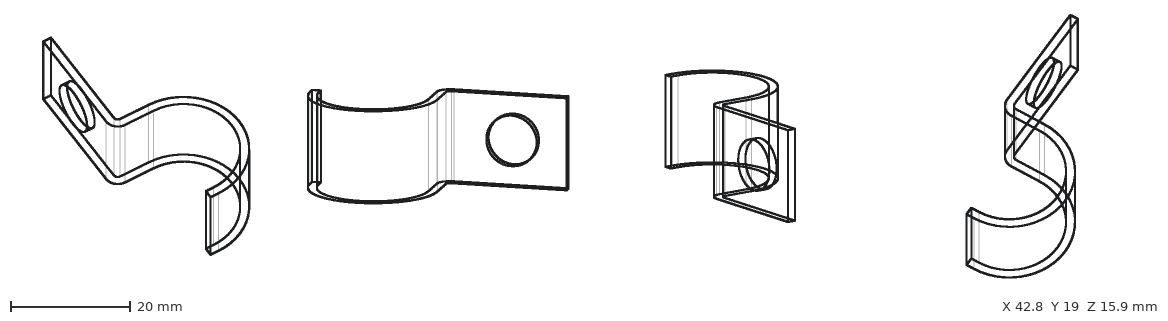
import cadquery as cq

thickness = 1.52
width = 15.88

length = 42.8
height = 18.97

saddle_inner_radius = 9.525
lip_length = 1.52

bend_inner_radius = 0.79

hole_diameter = 8.73
hole_from_tab_end = 9.525

saddle_outer_radius = saddle_inner_radius + thickness
bend_outer_radius = bend_inner_radius + thickness
saddle_x = length - saddle_outer_radius
saddle_y = height - saddle_outer_radius
leg_outer_x = saddle_x - saddle_outer_radius
leg_inner_x = saddle_x - saddle_inner_radius
lip_inner_x = saddle_x + saddle_inner_radius
lip_end_y = saddle_y - lip_length


def bent_strip():
    """Tab, bend, leg, half-round saddle and lip as one extruded profile."""
    profile = (
        cq.Workplane("XY")
        .moveTo(0, 0)
        .lineTo(leg_inner_x - bend_outer_radius, 0)
        .radiusArc((leg_inner_x, bend_outer_radius), -bend_outer_radius)
        .lineTo(leg_inner_x, saddle_y)
        .threePointArc((saddle_x, saddle_y + saddle_inner_radius), (lip_inner_x, saddle_y))
        .lineTo(lip_inner_x, lip_end_y)
        .lineTo(length, lip_end_y)
        .lineTo(length, saddle_y)
        .threePointArc((saddle_x, height), (leg_outer_x, saddle_y))
        .lineTo(leg_outer_x, bend_outer_radius)
        .radiusArc((leg_outer_x - bend_inner_radius, thickness), bend_inner_radius)
        .lineTo(0, thickness)
        .close()
    )
    return profile.extrude(width)


def mounting_hole():
    """Cutter for the round hole through the tab, along Y."""
    return (
        cq.Workplane("XZ", origin=(hole_from_tab_end, thickness, width / 2))
        .circle(hole_diameter / 2)
        .extrude(thickness)
    )


result = bent_strip().cut(mounting_hole())